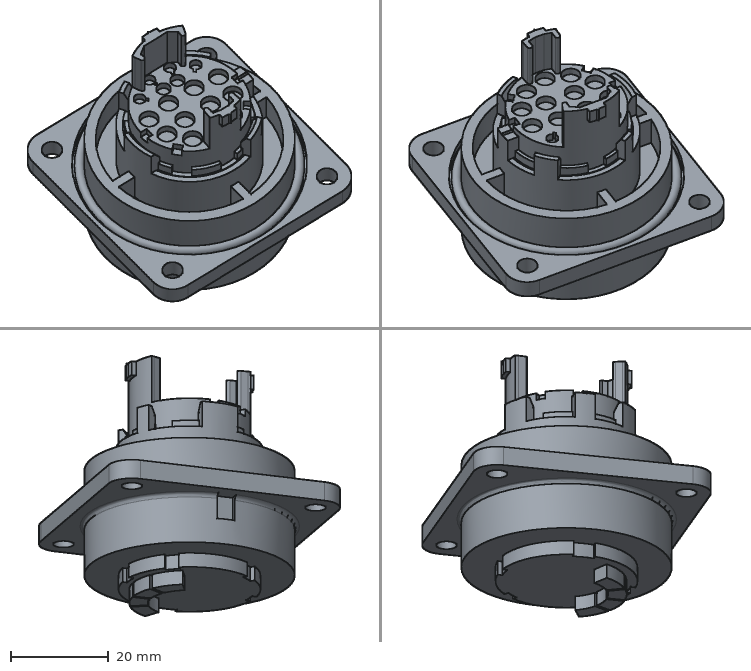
import cadquery as cq
import math

TOTAL_HEIGHT = 50.0
TAIL_TOP = 3.0
BODY_BOTTOM = 6.0
FLANGE_BOTTOM = 16.65
FLANGE_THICKNESS = 4.0
FLANGE_TOP = FLANGE_BOTTOM + FLANGE_THICKNESS
CUP_FLOOR = 22.0
CUP_RIM = 28.5
COLLAR_TOP = 33.15
LEDGE_TOP = 34.95
KEY_TOP = 38.55
INSERT_TOP = 40.0
HOOK_HEIGHT = 3.0

FLANGE_SIZE = 50.0
FLANGE_CORNER = 5.0
MOUNT_PITCH = 40.0
MOUNT_DIAMETER = 4.2
BODY_RADIUS = 21.5
NECK_FILLET = 0.9
CUP_RADIUS = 19.15
RIB_WIDTH = 2.0
RIB_COUNT = 4
BODY_SLOT_WIDTH = 3.85
BODY_SLOT_BOTTOM = 11.35
BODY_SLOT_DEPTH = 1.5

SEAL_THICKNESS = 2.0
SEAL_GROOVE_RADIUS = 24.0
SEAL_GROOVE_DEPTH = 1.5
SEAL_RADIUS = BODY_RADIUS + SEAL_THICKNESS / 2
SEAL_PROUD = 0.35

COLLAR_RADIUS = 15.0
COLLAR_BORE_RADIUS = 13.65
COLLAR_BORE_DEPTH = 0.2
LEDGE_RADIUS = 13.3
LEDGE_ARCS = [(9, 36), (54, 126), (144, 171), (189, 216), (234, 306), (324, 351)]
KEY_INNER_RADIUS = 12.9
KEY_CHAMFER = (1.1, 1.8)
KEYS = [(30, 6.15, 0.0), (135, 5.1, 0.0), (210, 3.0, 0.0), (270, 8.0, 1.25)]
MARK_KEY_WIDTH = 4.3
MARK_RIDGE_WIDTH = 0.6
MARK_RIDGE_HEIGHT = 0.4

INSERT_RADIUS = 12.5
INSERT_OVERLAP = 0.5
CONTACT_DEPTH = 1.65
LARGE_HOLE = 4.0
LARGE_CIRCLE = 9.2
LARGE_PITCH = 34.0
LARGE_STEPS = range(-3, 4)
INNER_HOLE_POINTS = [(x, y) for x in (-2.7, 2.7) for y in (-3.3, 3.3)]
MEDIUM_HOLE = 3.0
MEDIUM_POINTS = [(-6.3, 1.8), (-6.3, -1.8)]
SMALL_HOLE = 2.5
SMALL_CIRCLE = 10.25
SMALL_ANGLES = (135, 165, 195, 225)
SMALL_KEYWAY_WIDTH = 0.6
SMALL_KEYWAY_REACH = 1.8
EDGE_NOTCH_WIDTH = 2.0
EDGE_NOTCH_RADIUS = 11.0
EDGE_NOTCHES = [(50, 0.0), (-50, 0.0), (90, -0.85), (270, 0.85)]
EDGE_NOTCH_FLOOR = 38.5

ARM_FOOT = LEDGE_TOP
WIDE_ARM_HALF_WIDTH = 6.5
WIDE_ARM_OUTLINE = [
    (10.1, 6.35), (8.8, 5.8), (8.4, 5.25), (8.8, 4.7), (10.0, 4.8), (11.25, 3.0),
]
NARROW_ARM_HALF_WIDTH = 3.95
NARROW_ARM_OUTLINE = [
    (11.25, 3.9), (9.7, 3.8), (9.2, 3.25), (9.7, 2.65), (11.2, 2.65), (11.6, 1.0),
]
HOOK_RADIUS = 13.45
HOOK_WIDTH = 3.8
HOOK_RIDGE_WIDTH = 0.6
HOOK_RIDGE_RADIUS = 13.75

BASE_RADIUS = 14.5
BASE_SLOT_RADIUS = 13.5
BASE_SLOTS = [(5, 3.0), (90, 4.5), (185, 3.0), (235, 3.0), (310, 3.0)]
TAIL_OUTER_RADIUS = 12.3
TAIL_INNER_RADIUS = 8.5
TAIL_HALF_ANGLE = 63.0
TAIL_SLOT_WIDTH = 0.6
TAIL_SLOT_ANGLES = (150, 180, 210)


def polar(radius, angle):
    return (radius * math.cos(math.radians(angle)), radius * math.sin(math.radians(angle)))


def cylinder(radius, bottom, top):
    return cq.Workplane("XY").workplane(offset=bottom).circle(radius).extrude(top - bottom)


def ring(outer, inner, bottom, top):
    return cylinder(outer, bottom, top).cut(cylinder(inner, bottom, top))


def radial_box(angle, width, inner, outer, bottom, top, shift=0.0):
    """Box running outwards along `angle`, moved sideways (counterclockwise) by `shift`."""
    return (
        cq.Workplane("XY", origin=((inner + outer) / 2, shift, bottom))
        .rect(outer - inner, width)
        .extrude(top - bottom)
        .rotate((0, 0, 0), (0, 0, 1), angle)
    )


def sector(outer, inner, start, end, bottom, top):
    middle = (start + end) / 2
    return (
        cq.Workplane("XY")
        .workplane(offset=bottom)
        .moveTo(*polar(inner, start))
        .lineTo(*polar(outer, start))
        .threePointArc(polar(outer, middle), polar(outer, end))
        .lineTo(*polar(inner, end))
        .threePointArc(polar(inner, middle), polar(inner, start))
        .close()
        .extrude(top - bottom)
    )


def make_flange():
    flange = (
        cq.Workplane("XY")
        .workplane(offset=FLANGE_BOTTOM)
        .rect(FLANGE_SIZE, FLANGE_SIZE)
        .extrude(FLANGE_THICKNESS)
        .edges("|Z")
        .fillet(FLANGE_CORNER)
        .faces(">Z")
        .workplane()
        .rect(MOUNT_PITCH, MOUNT_PITCH, forConstruction=True)
        .vertices()
        .hole(MOUNT_DIAMETER)
    )
    seal_center = FLANGE_TOP + SEAL_PROUD - SEAL_THICKNESS / 2
    groove = ring(SEAL_GROOVE_RADIUS, BODY_RADIUS, FLANGE_TOP - SEAL_GROOVE_DEPTH, FLANGE_TOP)
    seal = (
        cq.Workplane("XZ")
        .center(SEAL_RADIUS, seal_center)
        .circle(SEAL_THICKNESS / 2)
        .revolve(360, (-SEAL_RADIUS, 0, 0), (-SEAL_RADIUS, 1, 0))
    )
    return flange.cut(groove).union(seal)


def make_body():
    neck_arc_middle = NECK_FILLET * (1 - math.sqrt(0.5))
    body = (
        cq.Workplane("XZ")
        .moveTo(0, BODY_BOTTOM)
        .lineTo(BODY_RADIUS, BODY_BOTTOM)
        .lineTo(BODY_RADIUS, FLANGE_BOTTOM - NECK_FILLET)
        .threePointArc(
            (BODY_RADIUS + neck_arc_middle, FLANGE_BOTTOM - neck_arc_middle),
            (BODY_RADIUS + NECK_FILLET, FLANGE_BOTTOM),
        )
        .lineTo(BODY_RADIUS, FLANGE_BOTTOM)
        .lineTo(BODY_RADIUS, CUP_RIM)
        .lineTo(0, CUP_RIM)
        .close()
        .revolve(360, (0, 0, 0), (0, 1, 0))
    )
    cup = ring(CUP_RADIUS, COLLAR_RADIUS, CUP_FLOOR, CUP_RIM)
    for index in range(RIB_COUNT):
        angle = index * 360 / RIB_COUNT
        cup = cup.cut(radial_box(angle, RIB_WIDTH, 0, BODY_RADIUS, CUP_FLOOR, CUP_RIM))
    return body.cut(cup)


def make_body_slot():
    inner = BODY_RADIUS - BODY_SLOT_DEPTH
    outer = BODY_RADIUS + NECK_FILLET
    return radial_box(270, BODY_SLOT_WIDTH, inner, outer, BODY_SLOT_BOTTOM, FLANGE_BOTTOM)


def make_collar():
    collar = cylinder(COLLAR_RADIUS, CUP_FLOOR, COLLAR_TOP)
    bore_floor = COLLAR_TOP - COLLAR_BORE_DEPTH
    collar = collar.cut(cylinder(COLLAR_BORE_RADIUS, bore_floor, COLLAR_TOP))
    for start, end in LEDGE_ARCS:
        ledge = sector(LEDGE_RADIUS, INSERT_RADIUS - INSERT_OVERLAP, start, end, bore_floor, LEDGE_TOP)
        collar = collar.union(ledge)
    chamfer_run, chamfer_drop = KEY_CHAMFER
    key_ring = (
        cq.Workplane("XZ")
        .moveTo(KEY_INNER_RADIUS, CUP_RIM)
        .lineTo(COLLAR_RADIUS, CUP_RIM)
        .lineTo(COLLAR_RADIUS, KEY_TOP)
        .lineTo(KEY_INNER_RADIUS + chamfer_run, KEY_TOP)
        .lineTo(KEY_INNER_RADIUS, KEY_TOP - chamfer_drop)
        .close()
        .revolve(360, (0, 0, 0), (0, 1, 0))
    )
    for angle, width, shift in KEYS:
        key_box = radial_box(angle, width, 0, COLLAR_RADIUS, CUP_RIM, KEY_TOP, shift)
        collar = collar.union(key_ring.intersect(key_box))
    return collar.union(make_mark_key())


def make_mark_key():
    """Plain key on +Y with a small pointed ridge along its top."""
    key = ring(COLLAR_RADIUS, INSERT_RADIUS, COLLAR_TOP, KEY_TOP).intersect(
        radial_box(90, MARK_KEY_WIDTH, 0, COLLAR_RADIUS, COLLAR_TOP, KEY_TOP)
    )
    half = MARK_RIDGE_WIDTH / 2
    ridge = (
        cq.Workplane("XZ", origin=(0, INSERT_RADIUS, 0))
        .polyline([(-half, KEY_TOP), (half, KEY_TOP), (0, KEY_TOP + MARK_RIDGE_HEIGHT)])
        .close()
        .extrude(INSERT_RADIUS - COLLAR_RADIUS)
    )
    return key.union(ridge)


def make_contact_holes():
    floor = INSERT_TOP - CONTACT_DEPTH
    large_points = [polar(LARGE_CIRCLE, step * LARGE_PITCH) for step in LARGE_STEPS]
    large_points += INNER_HOLE_POINTS
    small_points = [polar(SMALL_CIRCLE, angle) for angle in SMALL_ANGLES]
    groups = [(large_points, LARGE_HOLE), (MEDIUM_POINTS, MEDIUM_HOLE), (small_points, SMALL_HOLE)]
    holes = cq.Workplane("XY")
    for points, diameter in groups:
        for x, y in points:
            holes = holes.union(cylinder(diameter / 2, floor, INSERT_TOP).translate((x, y, 0)))
    keyway_end = SMALL_CIRCLE - SMALL_KEYWAY_REACH
    for angle in SMALL_ANGLES:
        holes = holes.union(
            radial_box(angle, SMALL_KEYWAY_WIDTH, keyway_end, SMALL_CIRCLE, floor, INSERT_TOP)
        )
    return holes


def make_insert():
    insert = cylinder(INSERT_RADIUS, CUP_FLOOR, INSERT_TOP).cut(make_contact_holes())
    for angle, shift in EDGE_NOTCHES:
        insert = insert.cut(
            radial_box(
                angle, EDGE_NOTCH_WIDTH, EDGE_NOTCH_RADIUS, COLLAR_RADIUS,
                EDGE_NOTCH_FLOOR, INSERT_TOP, shift,
            )
        )
    return insert


def make_arm(half_width, inner_half):
    """Latch arm on +X: an arc of the insert wall whose two ends curl inwards.

    `inner_half` lists the inner outline from the tip of one lip to the middle of the arm, y > 0:
    end of the flat, outer tip corner, tip, inner tip corner, then the corners of the inner wall.
    """
    flat_end, outer_tip, tip, inner_tip, *wall = inner_half

    def mirrored(point):
        return (point[0], -point[1])

    edge_x = math.sqrt(INSERT_RADIUS**2 - half_width**2)
    arm = (
        cq.Workplane("XY")
        .workplane(offset=ARM_FOOT)
        .moveTo(edge_x, -half_width)
        .threePointArc((INSERT_RADIUS, 0), (edge_x, half_width))
        .lineTo(*flat_end)
        .lineTo(*outer_tip)
        .threePointArc(tip, inner_tip)
    )
    for point in wall + [mirrored(point) for point in reversed(wall)]:
        arm = arm.lineTo(*point)
    arm = (
        arm.lineTo(*mirrored(inner_tip))
        .threePointArc(mirrored(tip), mirrored(outer_tip))
        .lineTo(*mirrored(flat_end))
        .close()
        .extrude(TOTAL_HEIGHT - ARM_FOOT)
    )
    return arm.union(make_hook())


def make_hook():
    bottom = TOTAL_HEIGHT - HOOK_HEIGHT
    hook = ring(HOOK_RADIUS, INSERT_RADIUS - INSERT_OVERLAP, bottom, TOTAL_HEIGHT).intersect(
        radial_box(0, HOOK_WIDTH, 0, HOOK_RADIUS, bottom, TOTAL_HEIGHT)
    )
    half = HOOK_RIDGE_WIDTH / 2
    ridge = (
        cq.Workplane("XY")
        .workplane(offset=bottom)
        .polyline([(INSERT_RADIUS, -half), (HOOK_RADIUS, -half), (HOOK_RIDGE_RADIUS, 0),
                   (HOOK_RADIUS, half), (INSERT_RADIUS, half)])
        .close()
        .extrude(HOOK_HEIGHT)
    )
    return hook.union(ridge)


def make_base():
    base = cylinder(BASE_RADIUS, TAIL_TOP, BODY_BOTTOM)
    for angle, width in BASE_SLOTS:
        slot = ring(COLLAR_RADIUS, BASE_SLOT_RADIUS, TAIL_TOP, BODY_BOTTOM).intersect(
            radial_box(angle, width, 0, COLLAR_RADIUS, TAIL_TOP, BODY_BOTTOM)
        )
        base = base.cut(slot)
    tail = sector(
        TAIL_OUTER_RADIUS, TAIL_INNER_RADIUS,
        180 - TAIL_HALF_ANGLE, 180 + TAIL_HALF_ANGLE, 0, TAIL_TOP,
    )
    for angle in TAIL_SLOT_ANGLES:
        tail = tail.cut(radial_box(angle, TAIL_SLOT_WIDTH, 0, BASE_RADIUS, 0, TAIL_TOP))
    return base.union(tail)


wide_arm = make_arm(WIDE_ARM_HALF_WIDTH, WIDE_ARM_OUTLINE).rotate((0, 0, 0), (0, 0, 1), 180)
narrow_arm = make_arm(NARROW_ARM_HALF_WIDTH, NARROW_ARM_OUTLINE)

result = (
    make_flange()
    .union(make_body())
    .cut(make_body_slot())
    .union(make_collar())
    .union(make_insert())
    .union(wide_arm)
    .union(narrow_arm)
    .union(make_base())
)